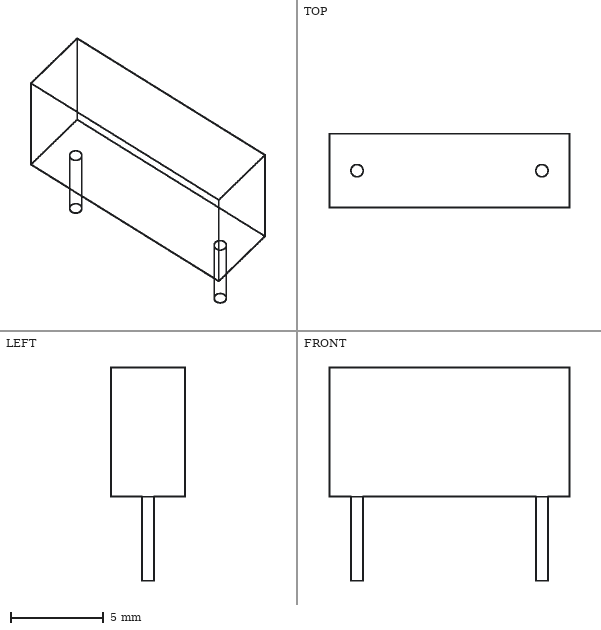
import cadquery as cq

housing_length = 13.0
housing_width = 4.0
housing_height = 7.0

overall_height = 11.55
lead_length = overall_height - housing_height
lead_diameter = 0.66
lead_pitch = 10.0


def make_housing():
    """Plain block standing on the XY plane."""
    return cq.Workplane("XY").box(
        housing_length, housing_width, housing_height, centered=(True, True, False)
    )


def make_lead(x):
    """Straight wire hanging from the underside of the housing at the given X."""
    return cq.Workplane("XY").center(x, 0).circle(lead_diameter / 2).extrude(-lead_length)


housing = make_housing()
leads = [make_lead(side * lead_pitch / 2) for side in (-1, 1)]

result = cq.Compound.makeCompound([housing.val(), *[lead.val() for lead in leads]])